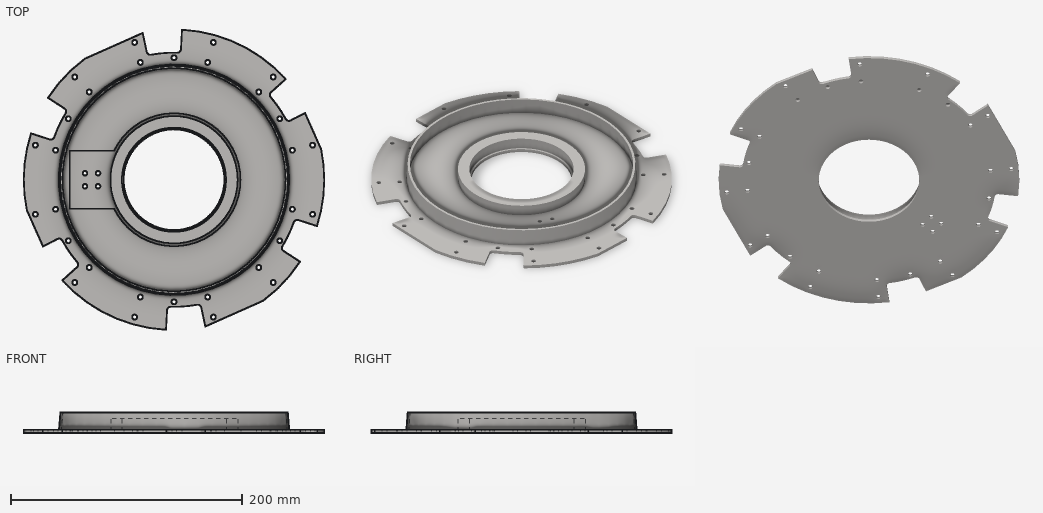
import cadquery as cq
import math

PLATE_THICKNESS = 3.0
FLANGE_RADIUS = 130.0
SECTOR_COUNT = 6
SECTOR_PITCH = 360.0 / SECTOR_COUNT

NOTCH_ANGLE = 34.5
NOTCH_SPAN = 15.0
NOTCH_FLOOR_RADIUS = 110.0
NOTCH_CORNER_RADIUS = 3.0

FLAT_COUNT = 4
FLAT_DISTANCE = 127.0
FLAT_ANGLE = 24.0

FLANGE_HOLE_DIAMETER = 4.1
OUTER_HOLE_RADIUS = 123.5
INNER_HOLE_RADIUS = 105.5
HOLE_PAIR_HALF_ANGLE = 14.0

RIM_BOTTOM_RADIUS = 99.7
RIM_TOP_RADIUS = 98.5
RIM_WALL = 2.0
TOTAL_HEIGHT = 18.0

FOOT_RADIUS = 57.5
TAB_END = 90.0
TAB_WIDTH = 50.0
COLLAR_RADIUS = 110.0 / 2
COLLAR_HEIGHT = 10.0
BORE_RADIUS = 90.2 / 2
LIP_RADIUS = 87.0 / 2
LIP_THICKNESS = 3.0
TAB_HOLE_DIAMETER = 3.8
TAB_HOLE_SPACING = 11.3
TAB_HOLE_CENTRE = -71.3


def polar(radius, angle):
    """Point at the given radius and angle in degrees."""
    radians = math.radians(angle)
    return (radius * math.cos(radians), radius * math.sin(radians))


def disc(radius, bottom, height):
    return cq.Workplane("XY").workplane(offset=bottom).circle(radius).extrude(height)


def drill(body, points, diameter):
    """Cut through holes down the plate thickness."""
    holes = cq.Workplane("XY").pushPoints(points).circle(diameter / 2).extrude(PLATE_THICKNESS)
    return body.cut(holes)


def notch_cutter(centre):
    """Wedge between two radial sides, with rounded corners at its arc floor."""
    reach = FLANGE_RADIUS + NOTCH_CORNER_RADIUS
    start = centre - NOTCH_SPAN / 2
    end = centre + NOTCH_SPAN / 2
    wedge = (
        cq.Workplane("XY")
        .moveTo(*polar(NOTCH_FLOOR_RADIUS, start))
        .lineTo(*polar(reach, start))
        .threePointArc(polar(reach, centre), polar(reach, end))
        .lineTo(*polar(NOTCH_FLOOR_RADIUS, end))
        .threePointArc(polar(NOTCH_FLOOR_RADIUS, centre), polar(NOTCH_FLOOR_RADIUS, start))
        .close()
        .extrude(PLATE_THICKNESS)
    )
    middle_radius = (NOTCH_FLOOR_RADIUS + FLANGE_RADIUS) / 2
    inner_edges = [
        edge for edge in wedge.edges("|Z").vals()
        if math.hypot(edge.Center().x, edge.Center().y) < middle_radius
    ]
    return wedge.newObject(inner_edges).fillet(NOTCH_CORNER_RADIUS)


def flat_cutter(facing):
    """Segment of the flange beyond a flat that faces the given angle."""
    half_span = math.degrees(math.acos(FLAT_DISTANCE / FLANGE_RADIUS))
    start = polar(FLANGE_RADIUS, facing - half_span)
    end = polar(FLANGE_RADIUS, facing + half_span)
    return (
        cq.Workplane("XY")
        .moveTo(*start)
        .threePointArc(polar(FLANGE_RADIUS, facing), end)
        .close()
        .extrude(PLATE_THICKNESS)
    )


def foot_outline():
    """Disc with a rectangular tab towards -X, as thick as the plate."""
    tab = (
        cq.Workplane("XY")
        .center(-TAB_END / 2, 0)
        .rect(TAB_END, TAB_WIDTH)
        .extrude(PLATE_THICKNESS)
    )
    return disc(FOOT_RADIUS, 0, PLATE_THICKNESS).union(tab)


def flange_hole_points():
    points = []
    for sector in range(SECTOR_COUNT):
        middle = sector * SECTOR_PITCH
        for side in (-1, 1):
            angle = middle + side * HOLE_PAIR_HALF_ANGLE
            points.append(polar(OUTER_HOLE_RADIUS, angle))
            points.append(polar(INNER_HOLE_RADIUS, angle))
        points.append(polar(INNER_HOLE_RADIUS, middle + SECTOR_PITCH / 2))
    return points


def rim_cone(inset):
    """Solid cone parallel to the outside of the rim and smaller by the inset."""
    height = TOTAL_HEIGHT - PLATE_THICKNESS
    taper = math.degrees(math.atan2(RIM_BOTTOM_RADIUS - RIM_TOP_RADIUS, height))
    return (
        cq.Workplane("XY")
        .workplane(offset=PLATE_THICKNESS)
        .circle(RIM_BOTTOM_RADIUS - inset)
        .extrude(height, taper=taper)
    )


def make_base():
    base = disc(FLANGE_RADIUS, 0, PLATE_THICKNESS)
    for index in range(FLAT_COUNT):
        base = base.cut(flat_cutter(FLAT_ANGLE + index * 360.0 / FLAT_COUNT))
    for sector in range(SECTOR_COUNT):
        base = base.cut(notch_cutter(NOTCH_ANGLE + sector * SECTOR_PITCH))
    base = drill(base, flange_hole_points(), FLANGE_HOLE_DIAMETER)
    rim = rim_cone(0).cut(rim_cone(RIM_WALL))
    return base.union(rim).cut(foot_outline())


def make_hub():
    collar = disc(COLLAR_RADIUS, PLATE_THICKNESS, COLLAR_HEIGHT)
    hub = foot_outline().union(collar)
    hub_height = PLATE_THICKNESS + COLLAR_HEIGHT
    hub = hub.cut(disc(LIP_RADIUS, 0, hub_height))
    hub = hub.cut(disc(BORE_RADIUS, LIP_THICKNESS, hub_height - LIP_THICKNESS))
    half = TAB_HOLE_SPACING / 2
    tab_holes = [(TAB_HOLE_CENTRE + dx, dy) for dx in (-half, half) for dy in (-half, half)]
    return drill(hub, tab_holes, TAB_HOLE_DIAMETER)


base = make_base()
hub = make_hub()

result = cq.Compound.makeCompound([base.val(), hub.val()])